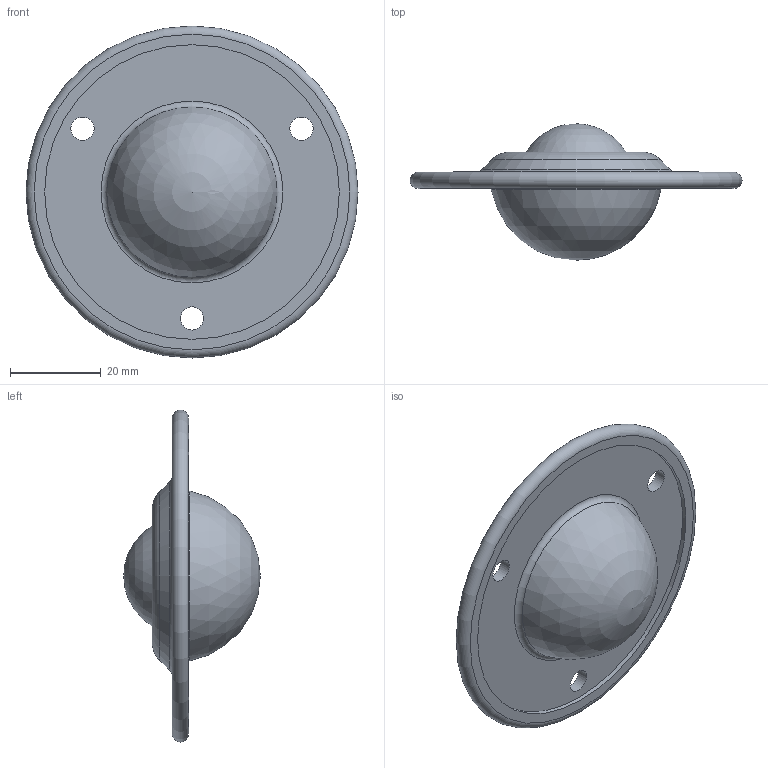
import cadquery as cq
import math


flange_radius = 36.5
rim_thickness = 3.6
rim_inner_radius = 32.4
recess_depth = 1.0
rim_half = rim_thickness / 2
recess_floor_y = -rim_half + recess_depth

cap_top_y = 6.2
cap_base_radius = 21.3
cap_slope = math.radians(45)
cap_fillet_radius = 5.7
toe_fillet_radius = 2.0

ball_side = -1
dome_side = 1
ball_radius = 19.0
ball_tip_y = -17.57
dome_radius = 12.85
dome_tip_y = 12.45

collar_base_radius = 20.0
collar_top_y = -2.0

hole_count = 3
hole_diameter = 5.1
hole_circle_radius = 27.8
first_hole_angle = -90


def revolve_about_y(profile):
    return profile.close().revolve(360, (0, 0, 0), (0, 1, 0))


def sphere_section_radius(radius, tip_y, side, section_y):
    """Radius of the circle where the plane at section_y cuts a sphere."""
    centre_y = tip_y - side * radius
    return math.sqrt(radius**2 - (section_y - centre_y) ** 2)


def make_housing():
    """Flange with full-round rim, front recess, ball collar and conical rear cap."""
    rim_centre_radius = flange_radius - rim_half

    cone_top_y = cap_top_y - cap_fillet_radius * (1 - math.cos(cap_slope))
    cone_top_radius = cap_base_radius - (cone_top_y - rim_half) / math.tan(cap_slope)
    cap_flat_radius = cone_top_radius - cap_fillet_radius * math.sin(cap_slope)

    toe_tangent_length = toe_fillet_radius * math.tan(cap_slope / 2)
    toe_end_radius = cap_base_radius + toe_tangent_length
    cone_bottom_radius = cap_base_radius - toe_tangent_length * math.cos(cap_slope)
    cone_bottom_y = rim_half + toe_tangent_length * math.sin(cap_slope)

    collar_top_radius = sphere_section_radius(ball_radius, ball_tip_y, ball_side, collar_top_y)

    profile = (
        cq.Workplane("XY")
        .moveTo(0, cap_top_y)
        .lineTo(cap_flat_radius, cap_top_y)
        .tangentArcPoint((cone_top_radius, cone_top_y), relative=False)
        .lineTo(cone_bottom_radius, cone_bottom_y)
        .tangentArcPoint((toe_end_radius, rim_half), relative=False)
        .lineTo(rim_centre_radius, rim_half)
        .threePointArc((flange_radius, 0), (rim_centre_radius, -rim_half))
        .lineTo(rim_inner_radius, -rim_half)
        .lineTo(rim_inner_radius, recess_floor_y)
        .lineTo(collar_base_radius, recess_floor_y)
        .tangentArcPoint((collar_top_radius, collar_top_y), relative=False)
        .lineTo(0, collar_top_y)
    )
    return revolve_about_y(profile)


def cut_mounting_holes(body):
    """Drill the through holes, evenly spaced on the bolt circle."""
    drills = (
        cq.Workplane("XZ", origin=(0, rim_thickness, 0))
        .polarArray(hole_circle_radius, first_hole_angle, 360, hole_count)
        .circle(hole_diameter / 2)
        .extrude(2 * rim_thickness)
    )
    return body.cut(drills)


def make_sphere_cap(radius, tip_y, side, base_y):
    """Part of a sphere from its tip on the given Y side (-1 or 1) back to base_y."""
    centre_y = tip_y - side * radius
    base_radius = sphere_section_radius(radius, tip_y, side, base_y)
    mid_angle = math.atan2(base_radius, side * (base_y - centre_y)) / 2
    mid_point = (radius * math.sin(mid_angle), centre_y + side * radius * math.cos(mid_angle))
    profile = (
        cq.Workplane("XY")
        .moveTo(0, base_y)
        .lineTo(base_radius, base_y)
        .threePointArc(mid_point, (0, tip_y))
    )
    return revolve_about_y(profile)


housing = cut_mounting_holes(make_housing())
ball = make_sphere_cap(ball_radius, ball_tip_y, ball_side, collar_top_y)
dome = make_sphere_cap(dome_radius, dome_tip_y, dome_side, cap_top_y)

result = housing.union(ball).union(dome)